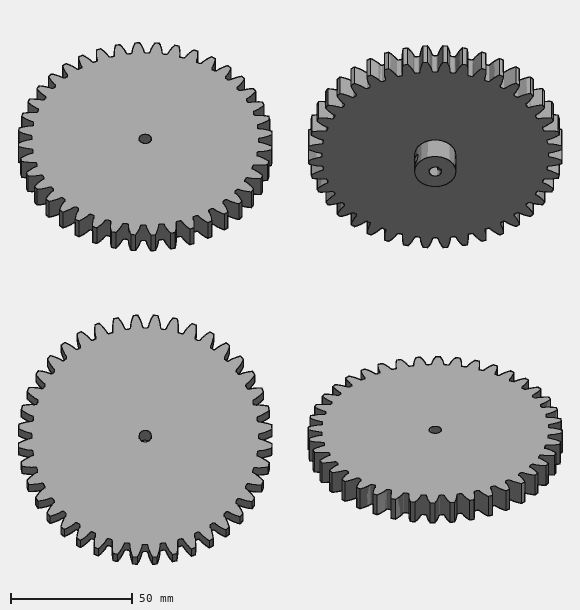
import cadquery as cq
import math

overall_width = 104.9
overall_height = 20.0

tooth_count = 40
pressure_angle = math.radians(20)
tooth_turn = 3.1
addendum_ratio = 1.0
dedendum_ratio = 1.25
root_fillet = 0.7
flank_steps = 6

disc_thickness = overall_height / 2
hub_diameter = 17.0
bore_diameter = 5.0
set_screw_diameter = 3.9
set_screw_depth = 5.5
hub_length = overall_height - disc_thickness


def involute(angle):
    """Involute function of a pressure angle, in radians."""
    return math.tan(angle) - angle


pitch_half_angle = math.pi / (2 * tooth_count)
base_half_angle = pitch_half_angle + involute(pressure_angle)
tip_diameter_in_modules = tooth_count + 2 * addendum_ratio
tip_pressure_angle = math.acos(tooth_count * math.cos(pressure_angle) / tip_diameter_in_modules)
tip_half_angle = base_half_angle - involute(tip_pressure_angle)

tip_corner_turn = math.radians(tooth_turn) - tip_half_angle
tip_radius = overall_width / 2 / math.cos(tip_corner_turn)

module = 2 * tip_radius / tip_diameter_in_modules
pitch_radius = module * tooth_count / 2
base_radius = pitch_radius * math.cos(pressure_angle)
root_radius = pitch_radius - dedendum_ratio * module


def polar(radius, angle):
    """Point at a radius and an angle in radians about the gear axis."""
    return (radius * math.cos(angle), radius * math.sin(angle))


def flank_points(middle, side):
    """Points up one flank, from the root to the tip; side is -1 or +1."""
    points = [polar(root_radius, middle + side * base_half_angle)]
    for step in range(1, flank_steps + 1):
        radius = base_radius + (tip_radius - base_radius) * step / flank_steps
        half_angle = base_half_angle - involute(math.acos(base_radius / radius))
        points.append(polar(radius, middle + side * half_angle))
    return points


def toothed_disc():
    pitch_angle = 2 * math.pi / tooth_count
    first_middle = math.radians(tooth_turn)
    outline = cq.Workplane("XY").moveTo(*flank_points(first_middle, -1)[0])
    for tooth in range(tooth_count):
        middle = first_middle + tooth * pitch_angle
        rising = flank_points(middle, -1)
        falling = flank_points(middle, 1)[::-1]
        next_root = flank_points(middle + pitch_angle, -1)[0]
        outline = (
            outline.spline(rising[1:], includeCurrent=True)
            .threePointArc(polar(tip_radius, middle), falling[0])
            .spline(falling[1:], includeCurrent=True)
            .threePointArc(polar(root_radius, middle + pitch_angle / 2), next_root)
        )
    disc = outline.close().extrude(disc_thickness)

    corner_limit = (root_radius + pitch_radius) / 2
    corners = [
        edge
        for edge in disc.edges("|Z").vals()
        if math.hypot(edge.Center().x, edge.Center().y) < corner_limit
    ]
    return disc.newObject(corners).fillet(root_fillet)


def hub():
    return cq.Workplane("XY").circle(hub_diameter / 2).extrude(-hub_length)


def bore():
    return (
        cq.Workplane("XY", origin=(0, 0, -hub_length))
        .circle(bore_diameter / 2)
        .extrude(overall_height)
    )


def set_screw_hole():
    """Cross hole along Y, through both walls of the hub."""
    return (
        cq.Workplane("XZ", origin=(0, 0, -set_screw_depth))
        .circle(set_screw_diameter / 2)
        .extrude(hub_diameter, both=True)
    )


result = toothed_disc().union(hub()).cut(bore()).cut(set_screw_hole())